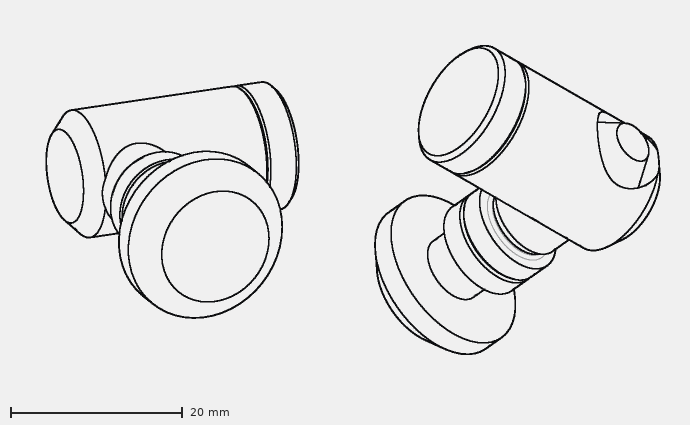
import cadquery as cq
import math

housing_radius = 7.5
housing_front_y = -6.65
housing_back_y = 20.0
front_chamfer = 2.0
back_chamfer = 0.55
housing_groove_y = 16.0
housing_groove_depth = 0.25

shank_radius = 5.0
tip_x = -8.15
tip_radius = 2.5
tip_half_angle = 30.0
shank_end_x = 10.15
undercut_radius = 4.4
undercut_start_x = 11.25
undercut_fillet = 0.4
collar_start_x = 11.88
collar_end_x = 18.1
collar_radius = 6.0
collar_groove_depth = 0.35
neck_radius = 4.05
head_start_x = 23.1
head_end_x = 28.85
head_radius = 9.75
head_chamfer = 2.95

tip_length = (shank_radius - tip_radius) / math.tan(math.radians(tip_half_angle))
collar_groove_x = (collar_start_x + collar_end_x) / 2


def make_housing():
    """Revolve the grooved cylinder about Y and bore the hole for the pin."""
    body = (
        cq.Workplane("XY")
        .moveTo(0, housing_front_y)
        .lineTo(housing_radius - front_chamfer, housing_front_y)
        .lineTo(housing_radius, housing_front_y + front_chamfer)
        .lineTo(housing_radius, housing_groove_y - housing_groove_depth)
        .lineTo(housing_radius - housing_groove_depth, housing_groove_y)
        .lineTo(housing_radius, housing_groove_y + housing_groove_depth)
        .lineTo(housing_radius, housing_back_y)
        .lineTo(0, housing_back_y)
        .close()
        .revolve(360, (0, 0, 0), (0, 1, 0))
    )
    body = body.faces(">Y").edges().chamfer(back_chamfer)
    cross_hole = cq.Workplane("YZ").circle(shank_radius).extrude(housing_radius, both=True)
    return body.cut(cross_hole)


def make_pin():
    """Revolve the pin about X: pointed tip, shank, undercut, grooved collar, neck and head."""
    return (
        cq.Workplane("XY")
        .moveTo(tip_x, 0)
        .lineTo(tip_x, tip_radius)
        .lineTo(tip_x + tip_length, shank_radius)
        .lineTo(shank_end_x, shank_radius)
        .lineTo(undercut_start_x, undercut_radius)
        .lineTo(collar_start_x - undercut_fillet, undercut_radius)
        .radiusArc((collar_start_x, undercut_radius + undercut_fillet), -undercut_fillet)
        .lineTo(collar_start_x, collar_radius)
        .lineTo(collar_groove_x - collar_groove_depth, collar_radius)
        .lineTo(collar_groove_x, collar_radius - collar_groove_depth)
        .lineTo(collar_groove_x + collar_groove_depth, collar_radius)
        .lineTo(collar_end_x, collar_radius)
        .lineTo(collar_end_x, neck_radius)
        .lineTo(head_start_x, neck_radius)
        .lineTo(head_start_x, head_radius)
        .lineTo(head_end_x - head_chamfer, head_radius)
        .lineTo(head_end_x, head_radius - head_chamfer)
        .lineTo(head_end_x, 0)
        .close()
        .revolve(360, (0, 0, 0), (1, 0, 0))
    )


housing = make_housing()
pin = make_pin()
result = cq.Compound.makeCompound([housing.val(), pin.val()])